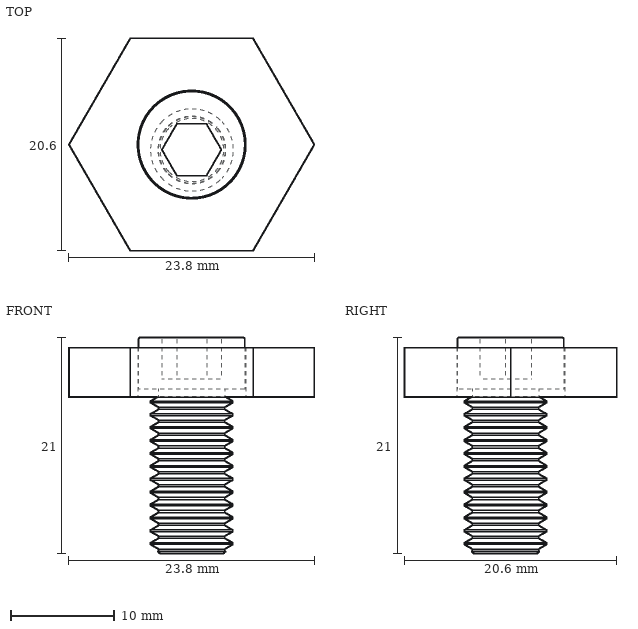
import cadquery as cq
import math


hex_sides = 6

washer_across_corners = 23.83
washer_thickness = 4.8
bore_diameter = 10.49

head_diameter = 10.35
head_height = 5.0
head_protrusion = 1.0
head_edge_radius = 0.2
head_top = washer_thickness + head_protrusion
head_underside = head_top - head_height

eccentricity = 0.5
shank_length = 16.0
thread_diameter = 8.0
thread_ridge_count = 12
last_ridge_depth = 15.01
thread_pitch = last_ridge_depth / thread_ridge_count
end_chamfer = 0.93
crest_radius = thread_diameter / 2
crest_width = thread_pitch / 8
root_width = thread_pitch / 6
flank_width = (thread_pitch - crest_width - root_width) / 2
flank_angle = math.radians(30)
root_radius = crest_radius - flank_width / math.tan(flank_angle)

socket_across_flats = 5.0
socket_depth = 4.0
socket_across_corners = socket_across_flats / math.cos(math.pi / hex_sides)


def make_washer():
    return (
        cq.Workplane("XY")
        .polygon(hex_sides, washer_across_corners)
        .circle(bore_diameter / 2)
        .extrude(washer_thickness)
    )


def make_head():
    return (
        cq.Workplane("XY", origin=(0, 0, head_underside))
        .circle(head_diameter / 2)
        .extrude(head_height)
        .faces(">Z")
        .edges()
        .fillet(head_edge_radius)
    )


def make_thread_blank():
    """Ridged rod along the Z axis, running down from the underside of the head.

    Each ridge is a closed ring. One extra ridge is left at the free end for trimming to length.
    """
    outline = [(0, head_underside), (root_radius, head_underside)]
    for ridge in range(1, thread_ridge_count + 2):
        crest_height = head_underside - ridge * thread_pitch
        outline += [
            (root_radius, crest_height + crest_width / 2 + flank_width),
            (crest_radius, crest_height + crest_width / 2),
            (crest_radius, crest_height - crest_width / 2),
            (root_radius, crest_height - crest_width / 2 - flank_width),
        ]
    outline.append((0, outline[-1][1]))
    return cq.Workplane("XZ").polyline(outline).close().revolve(360, (0, 0, 0), (0, 1, 0))


def make_shank():
    """Thread blank trimmed to length, with a chamfered free end."""
    envelope = (
        cq.Workplane("XY", origin=(0, 0, head_underside))
        .circle(crest_radius)
        .extrude(-shank_length)
        .faces("<Z")
        .chamfer(end_chamfer)
    )
    return make_thread_blank().intersect(envelope).translate((0, -eccentricity, 0))


def make_socket():
    return (
        cq.Workplane("XY", origin=(0, -eccentricity, head_top))
        .polygon(hex_sides, socket_across_corners)
        .extrude(-socket_depth)
    )


def make_screw():
    return make_head().union(make_shank()).cut(make_socket())


washer = make_washer()
screw = make_screw()

result = cq.Compound.makeCompound([washer.val(), screw.solids().val()])